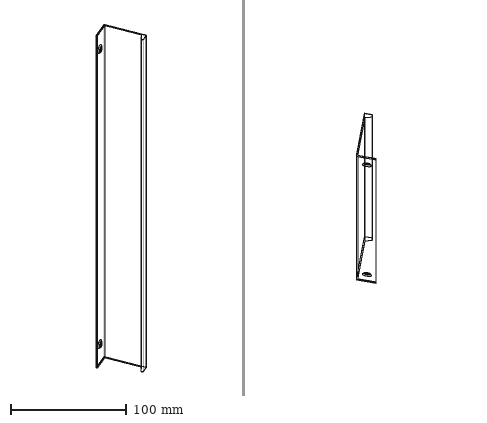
import cadquery as cq
import math

width = 40.0
depth = 17.5
length = 360.0

thickness = 1.2
corner_radius = 0.5

lip_depth = 7.5
lip_root_width = 4.0
lip_tip_radius = 1.2

hole_diameter = 5.5
countersink_diameter = 8.0
hole_end_distance = 20.0
hole_from_back = 9.5


def make_profile_bar():
    """Extrude the section: flange at X = 0, web along Y = 0, rounded lip at the far edge."""
    root_x = width - lip_root_width
    tip_x = width - lip_tip_radius
    tip_y = lip_tip_radius - lip_depth

    run_x = root_x - tip_x
    run_y = -thickness - tip_y
    toward_root = math.atan2(run_y, run_x)
    tangent_angle = toward_root + math.acos(lip_tip_radius / math.hypot(run_x, run_y))
    middle_angle = (tangent_angle + 2 * math.pi) / 2

    def tip_point(angle):
        return (tip_x + lip_tip_radius * math.cos(angle), tip_y + lip_tip_radius * math.sin(angle))

    bar = (
        cq.Workplane("XY")
        .moveTo(0, 0)
        .lineTo(0, -depth)
        .lineTo(thickness, -depth)
        .lineTo(thickness, -thickness)
        .lineTo(root_x, -thickness)
        .lineTo(*tip_point(tangent_angle))
        .threePointArc(tip_point(middle_angle), (width, tip_y))
        .lineTo(width, 0)
        .close()
        .extrude(length)
    )
    outer_corner = cq.selectors.NearestToPointSelector((0, 0, length / 2))
    return bar.edges(outer_corner).fillet(corner_radius)


def screw_hole(height):
    """Cone narrowing from the flange's outer face to the hole diameter at its inner face."""
    return (
        cq.Workplane("YZ")
        .center(-hole_from_back, height)
        .circle(countersink_diameter / 2)
        .workplane(offset=thickness)
        .circle(hole_diameter / 2)
        .loft()
    )


result = make_profile_bar()
for hole_height in (hole_end_distance, length - hole_end_distance):
    result = result.cut(screw_hole(hole_height))